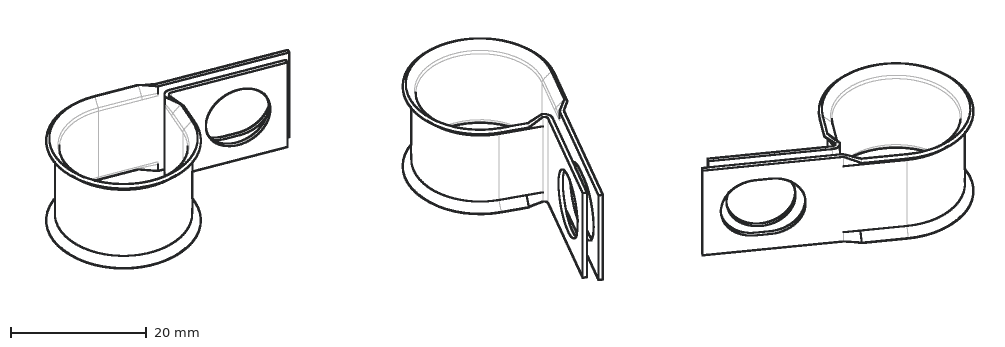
import cadquery as cq
import math

width = 15.85
thickness = 0.67
flange_radius = 11.435
bore_radius = 9.5
band_radius = bore_radius + thickness

long_arm_end = 41.95 - flange_radius
arm_end_step = 1.18
short_arm_end = long_arm_end - arm_end_step
arm_gap = 1.43
short_arm_x = -bore_radius + arm_gap
bend_inner_radius = 0.65
bend_outer_radius = bend_inner_radius + thickness
bend_end_x = short_arm_x + bend_outer_radius
transition_length = 2.5

hole_diameter = 10.32
slot_length = 12.67
hole_y = long_arm_end - 9.05

half_width = width / 2
lip_step = thickness * math.sin(math.pi / 4)
flare_start_z = half_width - lip_step - (flange_radius - band_radius)
bend_mid_step = thickness * math.sin(math.pi / 8)
bend_mid_rise = thickness * math.cos(math.pi / 8)


def flanged_section(plane):
    """Strip section with flared edges; local x is the distance from the ring axis."""
    bend_end_r = band_radius - lip_step
    bend_end_z = flare_start_z + lip_step
    bend_mid_r = band_radius - bend_mid_rise
    bend_mid_z = flare_start_z + bend_mid_step
    return (
        cq.Workplane(plane)
        .moveTo(bore_radius, -flare_start_z)
        .lineTo(bore_radius, flare_start_z)
        .threePointArc((bend_mid_r, bend_mid_z), (bend_end_r, bend_end_z))
        .lineTo(flange_radius - lip_step, half_width)
        .lineTo(flange_radius, half_width - lip_step)
        .lineTo(band_radius, flare_start_z)
        .lineTo(band_radius, -flare_start_z)
        .lineTo(flange_radius, -half_width + lip_step)
        .lineTo(flange_radius - lip_step, -half_width)
        .lineTo(bend_end_r, -bend_end_z)
        .threePointArc((bend_mid_r, -bend_mid_z), (bore_radius, -flare_start_z))
        .close()
    )


def flat_section(plane):
    """Flat strip section with one vertex for each vertex of the flanged section."""
    split_z = flare_start_z + lip_step
    return cq.Workplane(plane).polyline([
        (bore_radius, -flare_start_z),
        (bore_radius, flare_start_z),
        (bore_radius, split_z),
        (bore_radius, half_width),
        (band_radius, half_width),
        (band_radius, flare_start_z),
        (band_radius, -flare_start_z),
        (band_radius, -half_width),
        (bore_radius, -half_width),
        (bore_radius, -split_z),
    ]).close()


def transition(flanged_plane, flat_plane):
    """Strip length over which the flared edges fade into the flat strip."""
    wires = [
        flanged_section(flanged_plane).wires().val(),
        flat_section(flat_plane).wires().val(),
    ]
    return cq.Workplane(cq.Solid.makeLoft(wires, True))


def plane_along_y(y):
    """Section plane across the long arm side of the strip."""
    return cq.Plane(origin=(0, y, 0), xDir=(-1, 0, 0), normal=(0, 1, 0))


def plane_along_x(x):
    """Section plane across the short arm side of the strip."""
    return cq.Plane(origin=(x, 0, 0), xDir=(0, 1, 0), normal=(1, 0, 0))


ring = flanged_section(plane_along_y(0)).revolve(270, (0, 0), (0, 1))

long_flat_y = bore_radius
long_flange_y = long_flat_y - transition_length
long_straight = flanged_section(plane_along_y(0)).extrude(long_flange_y)
long_transition = transition(plane_along_y(long_flange_y), plane_along_y(long_flat_y))
long_plate = flat_section(plane_along_y(long_flat_y)).extrude(long_arm_end - long_flat_y)
slot = (
    cq.Workplane("YZ", origin=(-band_radius, hole_y, 0))
    .slot2D(slot_length, hole_diameter)
    .extrude(thickness)
)
long_plate = long_plate.cut(slot)

short_flange_x = bend_end_x + transition_length
short_straight = flanged_section(plane_along_x(0)).extrude(short_flange_x)
short_transition = transition(plane_along_x(short_flange_x), plane_along_x(bend_end_x))
bend_center_y = bore_radius + bend_outer_radius
diagonal = math.sin(math.pi / 4)
short_plate = (
    cq.Workplane("XY", origin=(0, 0, -half_width))
    .moveTo(bend_end_x, bore_radius)
    .threePointArc(
        (bend_end_x - bend_outer_radius * diagonal, bend_center_y - bend_outer_radius * diagonal),
        (short_arm_x, bend_center_y),
    )
    .lineTo(short_arm_x, short_arm_end)
    .lineTo(short_arm_x + thickness, short_arm_end)
    .lineTo(short_arm_x + thickness, bend_center_y)
    .threePointArc(
        (bend_end_x - bend_inner_radius * diagonal, bend_center_y - bend_inner_radius * diagonal),
        (bend_end_x, band_radius),
    )
    .close()
    .extrude(width)
)
round_hole = (
    cq.Workplane("YZ", origin=(short_arm_x, hole_y, 0))
    .circle(hole_diameter / 2)
    .extrude(thickness)
)
short_plate = short_plate.cut(round_hole)

result = ring
for piece in (
    long_straight, long_transition, long_plate,
    short_straight, short_transition, short_plate,
):
    result = result.union(piece)
result = result.clean()